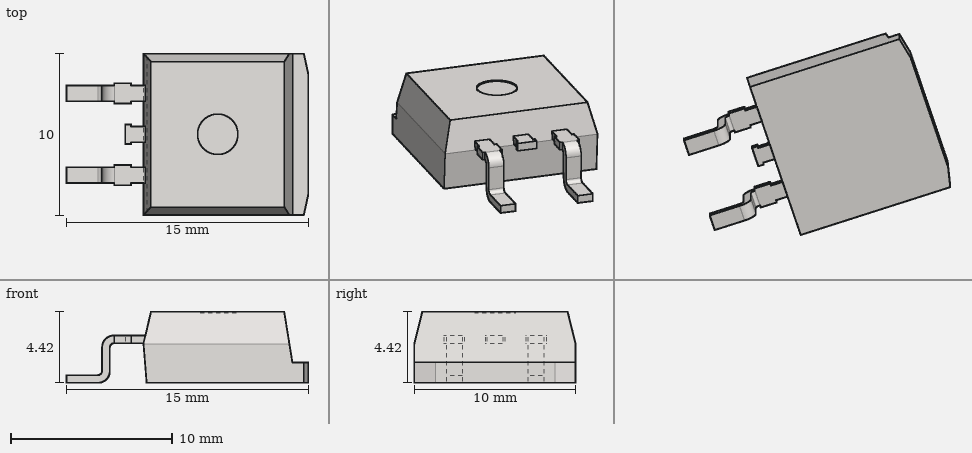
import cadquery as cq

length = 15.0
width = 10.0
height = 4.42

parting_z = 2.43
bottom_front_x = 4.96
parting_front_x = 4.77
top_front_x = 5.24
top_back_x = 13.5
tab_joint_x = 14.01
top_side_inset = 0.5
mark_diameter = 2.5
mark_depth = 0.08
mark_x = 9.38

tab_thickness = 1.28
tab_corner_x = 14.72
tab_end_width = 7.41

lead_thickness = 0.5
lead_bottom_z = 2.46
lead_top_z = lead_bottom_z + lead_thickness
lead_width = 0.99
lead_pitch = 2.54
riser_x = 2.2
bend_inner_radius = 0.25
bend_outer_radius = bend_inner_radius + lead_thickness
shoulder_end_x = 4.0
outer_shoulder_start_x = riser_x + bend_outer_radius
outer_shoulder_width = 1.28
stub_start_x = 3.65
stub_shoulder_width = 1.23
lead_root_x = top_front_x + lead_thickness


def make_body():
    """Body with drafted ends, drafted upper sides and a shallow round mark."""
    profile = [
        (bottom_front_x, 0),
        (tab_joint_x, 0),
        (tab_joint_x, tab_thickness),
        (top_back_x, height),
        (top_front_x, height),
        (parting_front_x, parting_z),
    ]
    side_shape = cq.Workplane("XZ").polyline(profile).close().extrude(width / 2, both=True)
    half_width = width / 2
    top_half_width = half_width - top_side_inset
    cross_section = [
        (-half_width, 0),
        (half_width, 0),
        (half_width, parting_z),
        (top_half_width, height),
        (-top_half_width, height),
        (-half_width, parting_z),
    ]
    end_shape = cq.Workplane("YZ").polyline(cross_section).close().extrude(length)
    mark = (
        cq.Workplane("XY", origin=(mark_x, 0, height - mark_depth))
        .circle(mark_diameter / 2)
        .extrude(mark_depth)
    )
    return side_shape.intersect(end_shape).cut(mark)


def make_tab():
    """Flat tab whose free end narrows toward +X."""
    outline = [
        (tab_joint_x, -width / 2),
        (tab_corner_x, -width / 2),
        (length, -tab_end_width / 2),
        (length, tab_end_width / 2),
        (tab_corner_x, width / 2),
        (tab_joint_x, width / 2),
    ]
    return cq.Workplane("XY").polyline(outline).close().extrude(tab_thickness)


def make_flat_bar(start_x, end_x, bar_width, y):
    """Straight piece of lead at the height of the lead roots."""
    return (
        cq.Workplane("XY", origin=(start_x, y, lead_bottom_z))
        .box(end_x - start_x, bar_width, lead_thickness, centered=(False, True, False))
    )


def make_outer_lead(y):
    """Gull-wing lead with a wider shoulder near the body."""
    riser_back_x = riser_x + lead_thickness
    inner = bend_inner_radius
    outer = bend_outer_radius
    gull_wing = (
        cq.Workplane("XZ", origin=(0, y, 0))
        .lineTo(riser_back_x - outer, 0)
        .radiusArc((riser_back_x, outer), -outer)
        .lineTo(riser_back_x, lead_bottom_z - inner)
        .radiusArc((riser_back_x + inner, lead_bottom_z), inner)
        .lineTo(lead_root_x, lead_bottom_z)
        .lineTo(lead_root_x, lead_top_z)
        .lineTo(riser_x + outer, lead_top_z)
        .radiusArc((riser_x, lead_top_z - outer), -outer)
        .lineTo(riser_x, lead_thickness + inner)
        .radiusArc((riser_x - inner, lead_thickness), inner)
        .lineTo(0, lead_thickness)
        .close()
        .extrude(lead_width / 2, both=True)
    )
    shoulder = make_flat_bar(outer_shoulder_start_x, shoulder_end_x, outer_shoulder_width, y)
    return gull_wing.union(shoulder)


def make_centre_stub():
    """Cut-off centre lead with a wider end."""
    neck = make_flat_bar(stub_start_x, lead_root_x, lead_width, 0)
    shoulder = make_flat_bar(stub_start_x, shoulder_end_x, stub_shoulder_width, 0)
    return neck.union(shoulder)


result = make_body().union(make_tab()).union(make_centre_stub())
for lead_y in (-lead_pitch, lead_pitch):
    result = result.union(make_outer_lead(lead_y))